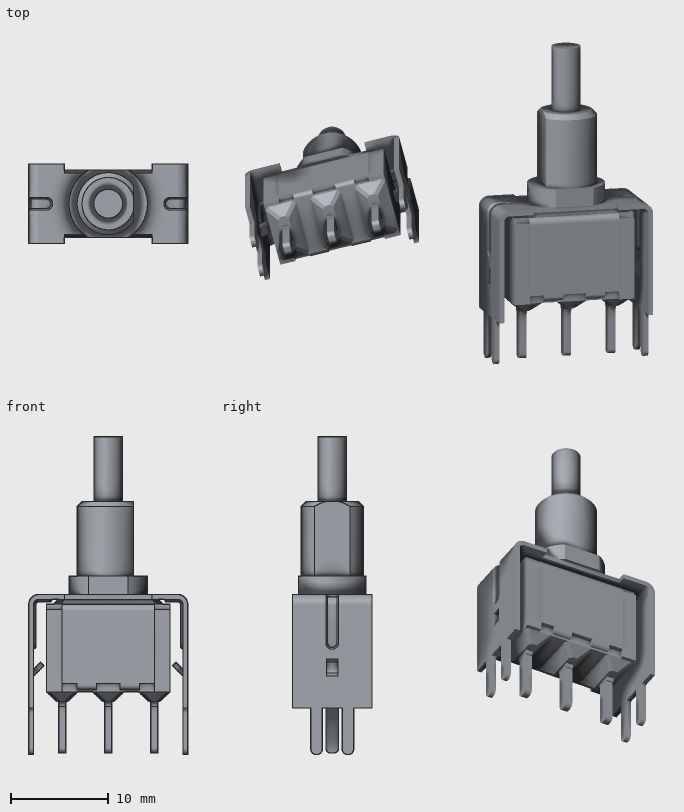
import cadquery as cq
import math


TOTAL_X = 16.26
TOTAL_Y = 8.13
TOTAL_Z = 32.48
TOP_Z = 16.1
BOTTOM_Z = TOP_Z - TOTAL_Z

PLUNGER_DIAMETER = 2.95
BARREL_RADIUS = 3.175
BARREL_TOP_Z = 9.48
BARREL_CHAMFER = 0.5
BARREL_FLAT_X = 2.6
NUT_RADIUS = 4.0
NUT_HEIGHT = 1.86
NUT_ACROSS_FLATS = 6.93

SHEET = 0.51
BEND_RADIUS = 1.05
BEND_INNER_RADIUS = BEND_RADIUS - SHEET
HALF_X = TOTAL_X / 2
WALL_INNER_X = HALF_X - SHEET
WALL_BOTTOM_Z = -11.62
NOTCH_LENGTH = 8.94
NOTCH_GAP = 6.3
LEG_WIDTH = 1.2
LEG_PITCH = 3.2

RIB_WIDTH = 1.3
RIB_DEPTH = 0.25
RIB_TAPER_ANGLE = 35
RIB_END_X = 5.68
RIB_END_Z = -5.6

TONGUE_WIDTH = 1.14
WINDOW_TOP_Z = -6.6
WINDOW_BOTTOM_Z = -8.35
TONGUE_ROOT_INSET = 0.1
TONGUE_REACH = 1.58

BODY_X = 12.66
BODY_Y = 6.75
BODY_TOP_Z = -1.0
BODY_BOTTOM_Z = -9.97
BODY_LEDGE_HEIGHT = 0.57
BODY_LEDGE_DEPTH = 0.4
SEAT_BASE_RADIUS = 5.6
SEAT_TOP_RADIUS = 5.1

FRAME_X = 9.46
FRAME_Y = 6.9
FRAME_BOTTOM_Z = -9.1
FRAME_EDGE_RADIUS = 0.7
RISE_TOP_X = 9.1
FRAME_SHEET = 0.5
RISE_HEIGHT = -SHEET - BODY_TOP_Z
RISE_BASE_Y = FRAME_Y - 2 * FRAME_EDGE_RADIUS
RISE_TOP_Y = RISE_BASE_Y - 2 * RISE_HEIGHT
CLIP_X = 2.2
CLIP_WIDTH = 2.0
CLIP_BOTTOM_Z = -9.75
CLIP_RADIUS = 0.45

TERMINAL_PITCH = 4.7
TERMINAL_COUNT = 3
TERMINAL_X = 0.75
TERMINAL_Y = 1.3
TERMINAL_BOTTOM_Z = -16.22
TERMINAL_TIP_RADIUS = 0.5
SHOULDER_Y = 1.6
SHOULDER_BOTTOM_Z = -11.43
FOOT_BASE_X = 3.2
FOOT_TIP_X = 1.1
FOOT_HEIGHT = 0.98
FOOT_CORNER_CHAMFER = 0.25


def box(x_size, y_size, z_low, z_high, x_centre=0, y_centre=0):
    """Upright box between two heights."""
    block = cq.Workplane("XY").box(x_size, y_size, z_high - z_low, centered=(True, True, False))
    return block.translate((x_centre, y_centre, z_low))


def both_ends(shape):
    """A feature of the -X end together with its mirror image at +X."""
    return shape.union(shape.mirror("YZ"))


def frustum(base, tip, base_z, tip_z, x_centre=0):
    """Four-sided taper between two rectangles given as (x size, y size)."""
    return (
        cq.Workplane("XY", origin=(x_centre, 0, base_z))
        .rect(*base)
        .workplane(offset=tip_z - base_z)
        .rect(*tip)
        .loft(combine=True)
    )


def make_actuator():
    """Plunger, flatted barrel and two-flat nut."""
    barrel = cq.Workplane("XY").circle(BARREL_RADIUS).extrude(BARREL_TOP_Z)
    barrel = barrel.faces(">Z").chamfer(BARREL_CHAMFER)
    flat_width = BARREL_RADIUS + BARREL_FLAT_X
    flat_centre = (BARREL_FLAT_X - BARREL_RADIUS) / 2
    barrel = barrel.intersect(box(flat_width, 2 * BARREL_RADIUS, 0, BARREL_TOP_Z, flat_centre))
    nut = cq.Workplane("XY").circle(NUT_RADIUS).extrude(NUT_HEIGHT)
    nut = nut.intersect(box(2 * NUT_RADIUS, NUT_ACROSS_FLATS, 0, NUT_HEIGHT))
    plunger = cq.Workplane("XY").circle(PLUNGER_DIAMETER / 2).extrude(TOP_Z)
    return nut.union(barrel).union(plunger)


def make_rib(surface_offset):
    """Tapered rib over the -X bend, starting that far below the outer sheet surface."""
    bend_x = BEND_RADIUS - HALF_X
    bend_z = -BEND_RADIUS
    inset = RIB_DEPTH * math.tan(math.radians(RIB_TAPER_ANGLE))
    half_width = RIB_WIDTH / 2
    half_floor = half_width - inset

    top_run = -RIB_END_X - half_width - bend_x
    top = (
        cq.Workplane("XY", origin=(bend_x + top_run / 2, 0, -surface_offset))
        .slot2D(top_run + RIB_WIDTH, RIB_WIDTH)
        .extrude(-RIB_DEPTH, taper=RIB_TAPER_ANGLE)
    )
    top = top.intersect(box(RIB_END_X, RIB_WIDTH, bend_z, 0, bend_x + RIB_END_X / 2))

    side_run = bend_z - RIB_END_Z - half_width
    side = (
        cq.Workplane("YZ", origin=(surface_offset - HALF_X, 0, bend_z - side_run / 2))
        .slot2D(side_run + RIB_WIDTH, RIB_WIDTH, 90)
        .extrude(RIB_DEPTH, taper=RIB_TAPER_ANGLE)
    )
    side = side.intersect(box(TOTAL_X, RIB_WIDTH, RIB_END_Z, bend_z))

    outer = surface_offset - BEND_RADIUS
    inner = outer + RIB_DEPTH
    corner = (
        cq.Workplane("XY", origin=(bend_x, 0, bend_z))
        .polyline([(outer, -half_width), (outer, half_width), (inner, half_floor), (inner, -half_floor)])
        .close()
        .revolve(90, (0, 0, 0), (0, 1, 0))
    )
    return top.union(side).union(corner)


def make_tongue():
    """Tongue bent inward at 45 degrees from the lower edge of the -X window."""
    inner_x = -WALL_INNER_X
    root_x = -HALF_X + TONGUE_ROOT_INSET
    step = SHEET / math.sqrt(2)
    tip_x = -HALF_X + TONGUE_REACH
    tip_z = WINDOW_BOTTOM_Z + tip_x - inner_x
    outline = [
        (root_x, WINDOW_BOTTOM_Z),
        (inner_x, WINDOW_BOTTOM_Z),
        (tip_x, tip_z),
        (tip_x - step, tip_z + step),
        (root_x, WINDOW_BOTTOM_Z + root_x - inner_x + 2 * step),
    ]
    return cq.Workplane("XZ").polyline(outline).close().extrude(TONGUE_WIDTH / 2, both=True)


def make_bracket():
    """Bent U bracket with notches, ribs, spring tongues and solder legs."""
    outer = box(TOTAL_X, TOTAL_Y, WALL_BOTTOM_Z, 0)
    outer = outer.edges("|Y and >Z").fillet(BEND_RADIUS)
    inner = box(2 * WALL_INNER_X, TOTAL_Y, WALL_BOTTOM_Z, -SHEET)
    inner = inner.edges("|Y and >Z").fillet(BEND_INNER_RADIUS)
    bracket = outer.cut(inner)

    notch_depth = (TOTAL_Y - NOTCH_GAP) / 2
    notch_y = (TOTAL_Y - notch_depth) / 2
    for side in (-1, 1):
        bracket = bracket.cut(box(NOTCH_LENGTH, notch_depth, -SHEET, 0, 0, side * notch_y))

    window = box(SHEET, TONGUE_WIDTH, WINDOW_BOTTOM_Z, WINDOW_TOP_Z, SHEET / 2 - HALF_X)
    bracket = bracket.cut(both_ends(window))
    bracket = bracket.union(both_ends(make_tongue()))
    bracket = bracket.union(both_ends(make_rib(SHEET)))
    bracket = bracket.cut(both_ends(make_rib(0)))

    tip_z = BOTTOM_Z + LEG_WIDTH / 2
    for side in (-1, 1):
        leg_y = side * LEG_PITCH / 2
        shank = box(SHEET, LEG_WIDTH, tip_z, WALL_BOTTOM_Z, SHEET / 2 - HALF_X, leg_y)
        tip = (
            cq.Workplane("YZ", origin=(-HALF_X, leg_y, tip_z))
            .circle(LEG_WIDTH / 2)
            .extrude(SHEET)
        )
        bracket = bracket.union(both_ends(shank.union(tip)))
    return bracket


def make_body():
    """Moulded body with stepped top edges, recesses below the frame and a conical seat."""
    body = box(BODY_X, BODY_Y, BODY_BOTTOM_Z, BODY_TOP_Z)
    recess_depth = FRAME_SHEET - (FRAME_Y - BODY_Y) / 2
    recess_y = (BODY_Y - recess_depth) / 2
    ledge_y = (BODY_Y - BODY_LEDGE_DEPTH) / 2
    ledge_z = BODY_TOP_Z - BODY_LEDGE_HEIGHT
    for side in (-1, 1):
        recess = box(FRAME_X, recess_depth, BODY_BOTTOM_Z, FRAME_BOTTOM_Z, 0, side * recess_y)
        body = body.cut(recess)
        ledge = box(BODY_X, BODY_LEDGE_DEPTH, ledge_z, BODY_TOP_Z, 0, side * ledge_y)
        body = body.cut(ledge)
    seat = (
        cq.Workplane("XY", origin=(0, 0, BODY_TOP_Z))
        .circle(SEAT_BASE_RADIUS)
        .workplane(offset=RISE_HEIGHT)
        .circle(SEAT_TOP_RADIUS)
        .loft(combine=True)
    )
    seat = seat.intersect(box(BODY_X, RISE_TOP_Y, BODY_TOP_Z, -SHEET))
    return body.union(seat)


def make_frame():
    """Frame with rounded shoulders, a tapered rise to the bracket and curled clips."""
    frame = box(FRAME_X, FRAME_Y, FRAME_BOTTOM_Z, BODY_TOP_Z)
    frame = frame.edges("|X and >Z").fillet(FRAME_EDGE_RADIUS)
    rise = frustum((FRAME_X, RISE_BASE_Y), (RISE_TOP_X, RISE_TOP_Y), BODY_TOP_Z, -SHEET)
    frame = frame.union(rise)
    for x_centre in (-CLIP_X, CLIP_X):
        clip = box(CLIP_WIDTH, FRAME_Y, CLIP_BOTTOM_Z, FRAME_BOTTOM_Z, x_centre)
        frame = frame.union(clip.edges("|X and <Z").fillet(CLIP_RADIUS))
    return frame


def make_terminal(x_centre):
    """Flat pin with a rounded tip, a wider shoulder and a tapered foot on the body."""
    pin = box(TERMINAL_X, TERMINAL_Y, TERMINAL_BOTTOM_Z, BODY_BOTTOM_Z, x_centre)
    pin = pin.edges("|X and <Z").fillet(TERMINAL_TIP_RADIUS)
    shoulder = box(TERMINAL_X, SHOULDER_Y, SHOULDER_BOTTOM_Z, BODY_BOTTOM_Z, x_centre)
    foot_y = FRAME_Y - 2 * FRAME_SHEET
    taper = FOOT_BASE_X - FOOT_TIP_X
    foot = frustum(
        (FOOT_BASE_X, foot_y),
        (FOOT_TIP_X, foot_y - taper),
        BODY_BOTTOM_Z,
        BODY_BOTTOM_Z - FOOT_HEIGHT,
        x_centre,
    )
    foot = foot.edges("not #Z").chamfer(FOOT_CORNER_CHAMFER)
    return pin.union(shoulder).union(foot)


result = make_bracket().union(make_actuator()).union(make_body()).union(make_frame())
for index in range(TERMINAL_COUNT):
    terminal_x = (index - (TERMINAL_COUNT - 1) / 2) * TERMINAL_PITCH
    result = result.union(make_terminal(terminal_x))